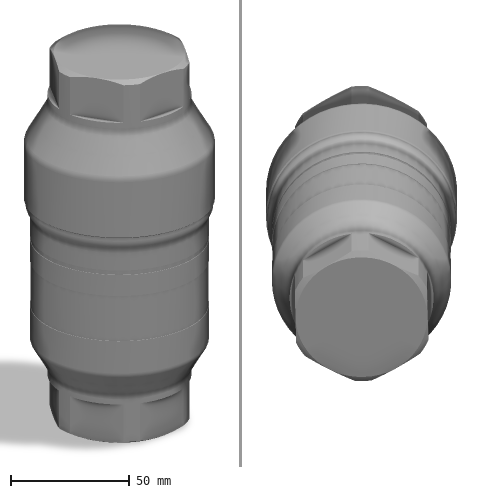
import cadquery as cq
import math

length = 169.5
head_radius = 40.5
body_radius = 38.0
neck_radius = 30.5

flat_count = 6
across_flats = 56.0
flats_length = 19.0
end_face_radius = 27.9
end_chamfer_angle = 30.0

taper_angle = 30.0
blend_radius = 5.0
body_bottom_blend_radius = 4.0

body_taper_bottom = 22.9
head_taper_top = length - 23.5
head_bottom = length - 68.5
lip_taper_top = length - 71.6

lip_radius = 39.85
head_bevel_height = 0.5

band_radius = 37.75
wide_band_bottom = 52.0
wide_band_top = 73.1
narrow_band_bottom = 82.9
narrow_band_top = 85.0


def taper_height(large_radius, small_radius):
    """Axial length of a taper between two radii."""
    return (large_radius - small_radius) / math.tan(math.radians(taper_angle))


def blend_points(corner, before, after, radius):
    """Start, middle and end of the arc that rounds a corner of the profile."""
    point = cq.Vector(*corner)
    to_before = (cq.Vector(*before) - point).normalized()
    to_after = (cq.Vector(*after) - point).normalized()
    half_angle = to_before.getAngle(to_after) / 2
    setback = radius / math.tan(half_angle)
    centre_distance = radius / math.sin(half_angle)
    bisector = (to_before + to_after).normalized()
    start = point + to_before * setback
    middle = point + bisector * (centre_distance - radius)
    end = point + to_after * setback
    return [(v.x, v.y) for v in (start, middle, end)]


def turned_body():
    """Revolve the outer profile, listed from bottom to top as (radius, height, blend radius)."""
    chamfer_height = (neck_radius - end_face_radius) * math.tan(math.radians(end_chamfer_angle))
    body_taper_top = body_taper_bottom + taper_height(body_radius, neck_radius)
    lip_taper_bottom = lip_taper_top - taper_height(lip_radius, body_radius)
    head_taper_bottom = head_taper_top - taper_height(head_radius, neck_radius)
    corners = [
        (0, 0, 0),
        (end_face_radius, 0, 0),
        (neck_radius, chamfer_height, 0),
        (neck_radius, body_taper_bottom, blend_radius),
        (body_radius, body_taper_top, body_bottom_blend_radius),
        (body_radius, lip_taper_bottom, blend_radius),
        (lip_radius, lip_taper_top, blend_radius),
        (lip_radius, head_bottom, 0),
        (head_radius, head_bottom + head_bevel_height, 0),
        (head_radius, head_taper_bottom, blend_radius),
        (neck_radius, head_taper_top, blend_radius),
        (neck_radius, length - chamfer_height, 0),
        (end_face_radius, length, 0),
        (0, length, 0),
    ]
    profile = cq.Workplane("XZ").moveTo(0, 0)
    for index in range(1, len(corners)):
        radius, height, blend = corners[index]
        if blend == 0:
            profile = profile.lineTo(radius, height)
            continue
        before = corners[index - 1][:2]
        after = corners[index + 1][:2]
        start, middle, end = blend_points((radius, height), before, after, blend)
        profile = profile.lineTo(*start).threePointArc(middle, end)
    return profile.close().revolve(360, (0, 0, 0), (0, 1, 0))


def ring(bottom, top, inner_radius):
    """Ring-shaped cutter reaching from the inner radius out to the head radius."""
    outline = cq.Workplane("XY").workplane(offset=bottom).circle(head_radius).circle(inner_radius)
    return outline.extrude(top - bottom)


def flats_cutter(bottom):
    """Cutter that leaves a hexagon with two flats facing +Y and -Y."""
    across_corners = across_flats / math.cos(math.pi / flat_count)
    outline = cq.Workplane("XY").workplane(offset=bottom).circle(head_radius)
    return outline.polygon(flat_count, across_corners).extrude(flats_length)


result = turned_body()
for band_bottom, band_top in ((wide_band_bottom, wide_band_top), (narrow_band_bottom, narrow_band_top)):
    result = result.cut(ring(band_bottom, band_top, band_radius))
for flats_bottom in (0, length - flats_length):
    result = result.cut(flats_cutter(flats_bottom))